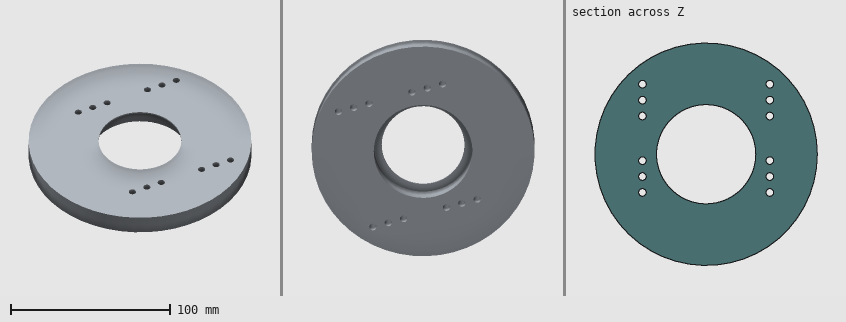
import cadquery as cq

disc_diameter = 140.0
disc_thickness = 12.7

bore_diameter = 51.98
recess_diameter = 62.05
lip_thickness = 1.0

hole_diameter = 4.5
column_count = 2
column_spacing = 80.0
hole_pitch = 10.0
holes_per_group = 3
group_centers_y = (34.0, -14.0)


def make_disc():
    return cq.Workplane("XY").circle(disc_diameter / 2).extrude(disc_thickness)


def make_bore():
    through_bore = cq.Workplane("XY").circle(bore_diameter / 2).extrude(disc_thickness)
    recess_depth = disc_thickness - lip_thickness
    recess = cq.Workplane("XY").circle(recess_diameter / 2).extrude(recess_depth)
    return through_bore.union(recess)


def make_mounting_holes():
    holes = cq.Workplane("XY")
    for center_y in group_centers_y:
        group = (
            cq.Workplane("XY")
            .center(0, center_y)
            .rarray(column_spacing, hole_pitch, column_count, holes_per_group)
            .circle(hole_diameter / 2)
            .extrude(disc_thickness)
        )
        holes = holes.add(group)
    return holes.combine()


result = make_disc().cut(make_bore()).cut(make_mounting_holes())